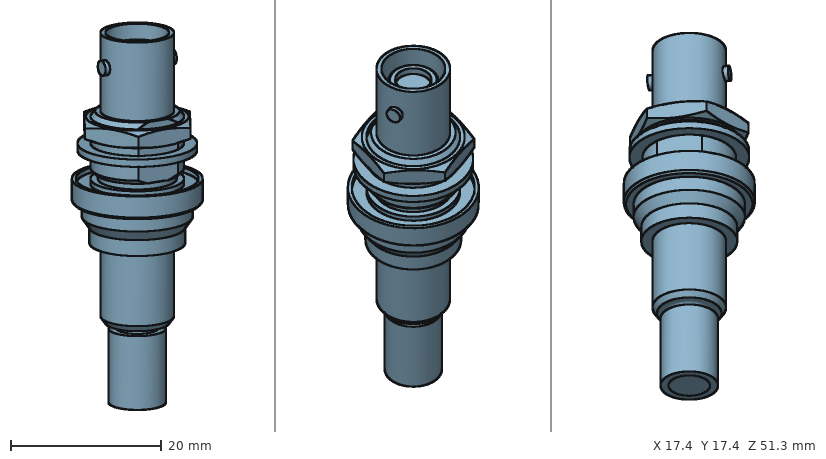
import cadquery as cq
import math

total_height = 51.25
ferrule_top = 10.25
barrel_bottom = 11.05
barrel_chamfer_top = 11.95
collar_bottom = 22.1
collar_top = 24.3
shoulder_bottom = 25.75
flange_bottom = 27.75
flange_top = 31.0
thread_bottom = 31.85
washer_bottom = 34.9
washer_thickness = 1.0
nut_bottom = 37.15
nut_height = 2.45
thread_top = 40.35

tube_radius = 4.9
barrel_end_radius = 4.3
stem_radius = 2.75
stem_fillet = 0.6
collar_radius = 6.4
shoulder_radius = 7.45
flange_diameter = 17.45
flange_radius = flange_diameter / 2
flange_chamfer = 0.3
neck_radius = 5.3
thread_radius = 6.25
thread_chamfer = 0.6
thread_top_chamfer_height = thread_top - nut_bottom - nut_height
washer_radius = 8.0

thread_flat_x = 5.45

groove_outer_radius = 8.2
groove_depth = 0.7

socket_radius = 4.25
insulator_radius = 3.35
insulator_chamfer = 0.2
insulator_top = 49.4
insulator_bore_radius = 2.4
insulator_bore_floor = 48.4

peg_radius = 1.0
peg_reach = 5.55
peg_height = 47.1

nut_across_flats = 14.1
nut_chamfer_radius = 6.85
nut_chamfer_height = 0.5

ferrule_radius = 3.85


def disc(radius, bottom, top):
    """Cylinder on the Z axis between two heights."""
    return cq.Workplane("XY").workplane(offset=bottom).circle(radius).extrude(top - bottom)


def ring(outer_radius, inner_radius, bottom, top):
    """Tube on the Z axis between two heights."""
    return disc(outer_radius, bottom, top).cut(disc(inner_radius, bottom, top))


def revolved(points):
    """Solid of revolution about Z from (radius, height) points."""
    return cq.Workplane("XZ").polyline(points).close().revolve(360, (0, 0, 0), (0, 1, 0))


def make_core():
    """Crimp stem, barrel, stepped collar, flange, neck and top tube."""
    core = revolved([
        (0, 0),
        (stem_radius, 0),
        (stem_radius, barrel_bottom),
        (barrel_end_radius, barrel_bottom),
        (tube_radius, barrel_chamfer_top),
        (tube_radius, collar_bottom),
        (collar_radius, collar_bottom),
        (collar_radius, collar_top),
        (shoulder_radius, shoulder_bottom),
        (shoulder_radius, flange_bottom),
        (flange_radius - flange_chamfer, flange_bottom),
        (flange_radius, flange_bottom + flange_chamfer),
        (flange_radius, flange_top),
        (neck_radius, flange_top),
        (neck_radius, thread_bottom),
        (tube_radius, thread_bottom),
        (tube_radius, total_height),
        (0, total_height),
    ])
    corner_reach = stem_radius + stem_fillet / 2
    stem_corner = cq.selectors.BoxSelector(
        (-corner_reach, -corner_reach, ferrule_top),
        (corner_reach, corner_reach, barrel_chamfer_top),
        boundingbox=True,
    )
    return core.edges(stem_corner).fillet(stem_fillet)


def make_thread():
    """Plain thread envelope, chamfered at both ends, with one long flat."""
    thread = disc(thread_radius, thread_bottom, thread_top)
    thread = thread.faces("<Z").chamfer(thread_chamfer)
    thread = thread.faces(">Z").chamfer(thread_top_chamfer_height, thread_chamfer)
    flat_cutter = cq.Workplane("XY").box(
        thread_radius, 2 * thread_radius, thread_top - thread_bottom, centered=(False, True, False)
    ).translate((thread_flat_x, 0, thread_bottom))
    return thread.cut(flat_cutter)


def make_nut():
    """Hexagon with corners on the Y axis, turned down conically at both ends."""
    corner_radius = nut_across_flats / math.sqrt(3)
    nut_top = nut_bottom + nut_height
    hexagon = (
        cq.Workplane("XY").workplane(offset=nut_bottom)
        .polygon(6, 2 * corner_radius).extrude(nut_height)
        .rotate((0, 0, 0), (0, 0, 1), 30)
    )
    turned_envelope = revolved([
        (0, nut_bottom),
        (nut_chamfer_radius, nut_bottom),
        (corner_radius, nut_bottom + nut_chamfer_height),
        (corner_radius, nut_top - nut_chamfer_height),
        (nut_chamfer_radius, nut_top),
        (0, nut_top),
    ])
    return hexagon.intersect(turned_envelope).cut(disc(thread_radius, nut_bottom, nut_top))


def make_socket_cutter():
    """Space around and inside the insulator."""
    insulator = disc(insulator_radius, thread_top, insulator_top).faces(">Z").chamfer(insulator_chamfer)
    insulator_bore = disc(insulator_bore_radius, insulator_bore_floor, insulator_top)
    return disc(socket_radius, thread_top, total_height).cut(insulator.cut(insulator_bore))


def make_pegs():
    """Two opposed bayonet pegs on the Y axis, initially one bar across the axis."""
    return (
        cq.Workplane("XZ").center(0, peg_height).circle(peg_radius)
        .extrude(peg_reach, both=True)
    )


def make_connector():
    washer = ring(washer_radius, thread_radius, washer_bottom, washer_bottom + washer_thickness)
    gasket_groove = ring(groove_outer_radius, thread_radius, flange_top - groove_depth, flange_top)
    connector = make_core().cut(gasket_groove)
    for feature in (make_thread(), washer, make_nut(), make_pegs()):
        connector = connector.union(feature)
    return connector.cut(make_socket_cutter())


def make_ferrule():
    """Crimp sleeve around the stem."""
    return ring(ferrule_radius, stem_radius, 0, ferrule_top)


connector = make_connector()
ferrule = make_ferrule()

result = cq.Compound.makeCompound([connector.solids().val(), ferrule.solids().val()])